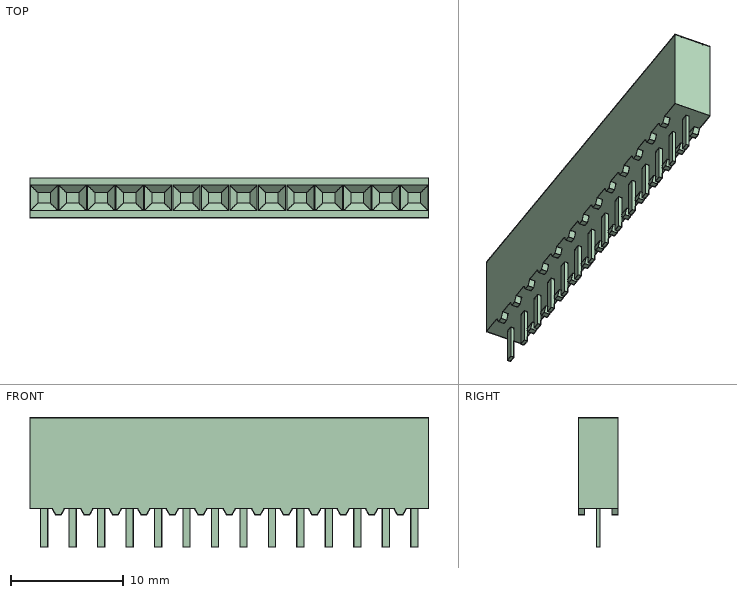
import cadquery as cq
import math

contact_count = 14
pitch = 2.54
body_length = contact_count * pitch
body_width = 3.56
total_height = 11.56
pin_length = 3.43
body_height = total_height - pin_length

pin_width = 0.66
pin_thickness = 0.32

pocket_wall = 0.1
pocket_mouth_length = pitch - pocket_wall
pocket_mouth_width = 2.26
pocket_depth = 0.66
pocket_inset = pocket_depth
pocket_floor_length = pocket_mouth_length - 2 * pocket_inset
pocket_floor_width = pocket_mouth_width - 2 * pocket_inset

foot_top_length = 1.12
foot_height = 0.54
foot_flank_angle = 30
foot_bottom_length = foot_top_length - 2 * foot_height * math.tan(math.radians(foot_flank_angle))
foot_thickness = 0.56


def centred_row(count):
    """Evenly pitched points along X, centred on the body."""
    first = -(count - 1) * pitch / 2
    return [(first + index * pitch, 0) for index in range(count)]


contact_positions = centred_row(contact_count)
foot_positions = centred_row(contact_count - 1)


def make_body():
    """Plain housing block standing on Z = 0."""
    return cq.Workplane("XY").box(body_length, body_width, body_height, centered=(True, True, False))


def make_pockets():
    """Cutters narrowing from the top face down to a flat floor."""
    pocket = (
        cq.Workplane("XY", origin=(0, 0, body_height))
        .rect(pocket_mouth_length, pocket_mouth_width)
        .workplane(offset=-pocket_depth)
        .rect(pocket_floor_length, pocket_floor_width)
        .loft(ruled=True)
        .val()
    )
    return cq.Workplane("XY").pushPoints(contact_positions).eachpoint(lambda place: pocket.moved(place))


def make_pins():
    """Row of pins hanging below the housing."""
    return (
        cq.Workplane("XY")
        .pushPoints(contact_positions)
        .rect(pin_width, pin_thickness)
        .extrude(-pin_length)
    )


def make_feet(outer_face_y):
    """Row of tapered feet, from the plane at outer_face_y towards +Y."""
    profile = [
        (-foot_top_length / 2, 0),
        (-foot_bottom_length / 2, -foot_height),
        (foot_bottom_length / 2, -foot_height),
        (foot_top_length / 2, 0),
    ]
    foot = (
        cq.Workplane("XZ", origin=(0, outer_face_y, 0))
        .polyline(profile)
        .close()
        .extrude(-foot_thickness)
        .val()
    )
    return cq.Workplane("XY").pushPoints(foot_positions).eachpoint(lambda place: foot.moved(place))


front_feet = make_feet(-body_width / 2)
back_feet = make_feet(body_width / 2 - foot_thickness)

result = make_body().union(front_feet).union(back_feet).union(make_pins()).cut(make_pockets())